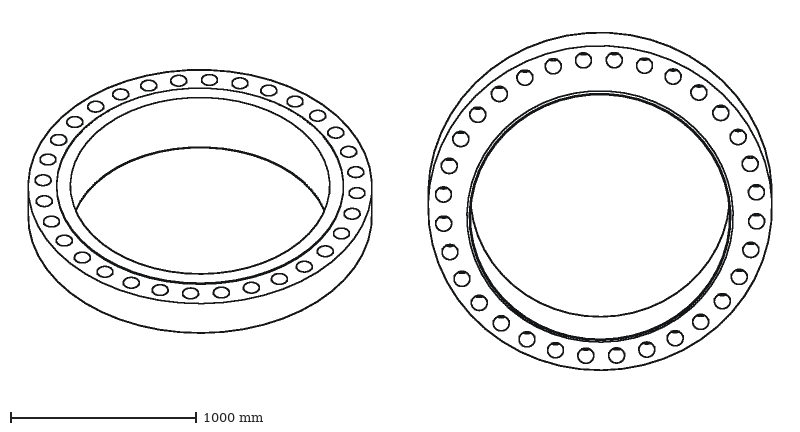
import cadquery as cq

flange_radius = 927.0
flange_thickness = 217.0
face_radius = 773.0
face_height = 7.0

total_height = 369.0
bore_radius = 699.0
hub_root_radius = 753.0
hub_tip_radius = 718.0
root_fillet = 15.0
hub_root_index = 3

bevel_height = 7.0
land_radius = 705.0

bolt_count = 32
bolt_circle_radius = 847.0
bolt_hole_diameter = 85.0

flange_top = -face_height
flange_bottom = flange_top - flange_thickness
hub_bottom = -total_height
bevel_top = hub_bottom + bevel_height


def make_body():
    """Revolve the half section around Z, then round the root of the hub."""
    section = (
        cq.Workplane("XZ")
        .moveTo(bore_radius, 0)
        .lineTo(face_radius, 0)
        .lineTo(face_radius, flange_top)
        .lineTo(flange_radius, flange_top)
        .lineTo(flange_radius, flange_bottom)
        .lineTo(hub_root_radius, flange_bottom)
        .lineTo(hub_tip_radius, bevel_top)
        .lineTo(land_radius, hub_bottom)
        .lineTo(bore_radius, hub_bottom)
        .close()
    )
    body = section.revolve(360, (0, 0, 0), (0, 1, 0))
    hub_root = body.edges("%CIRCLE").edges(cq.selectors.RadiusNthSelector(hub_root_index))
    return hub_root.fillet(root_fillet)


def make_bolt_holes():
    """Cylinders on the bolt circle, passing right through the disc."""
    return (
        cq.Workplane("XY", origin=(0, 0, flange_bottom))
        .polarArray(bolt_circle_radius, 0, 360, bolt_count)
        .circle(bolt_hole_diameter / 2)
        .extrude(flange_thickness)
    )


result = make_body().cut(make_bolt_holes())